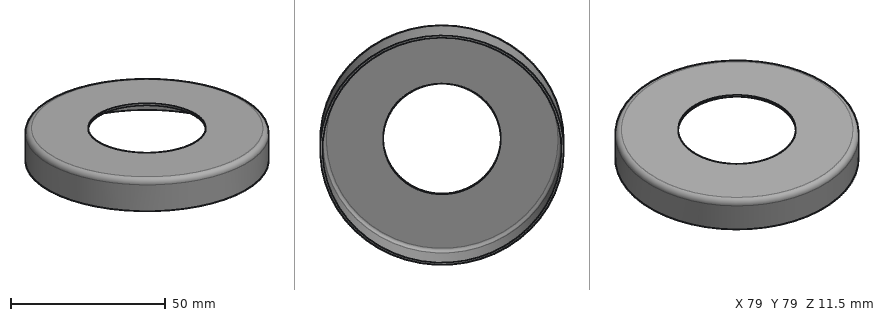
import cadquery as cq

outer_diameter = 79.0
height = 11.5
hole_diameter = 38.1
wall = 0.8
outer_edge_radius = 2.0

inner_diameter = outer_diameter - 2 * wall
inner_height = height - wall
inner_edge_radius = outer_edge_radius - wall


def rounded_disc(diameter, thickness, edge_radius):
    """Disc standing on the XY plane with its top rim rounded."""
    disc = cq.Workplane("XY").circle(diameter / 2).extrude(thickness)
    return disc.faces(">Z").edges().fillet(edge_radius)


outside = rounded_disc(outer_diameter, height, outer_edge_radius)
inside = rounded_disc(inner_diameter, inner_height, inner_edge_radius)
cover = outside.cut(inside)

hole = cq.Workplane("XY").circle(hole_diameter / 2).extrude(height)
result = cover.cut(hole)